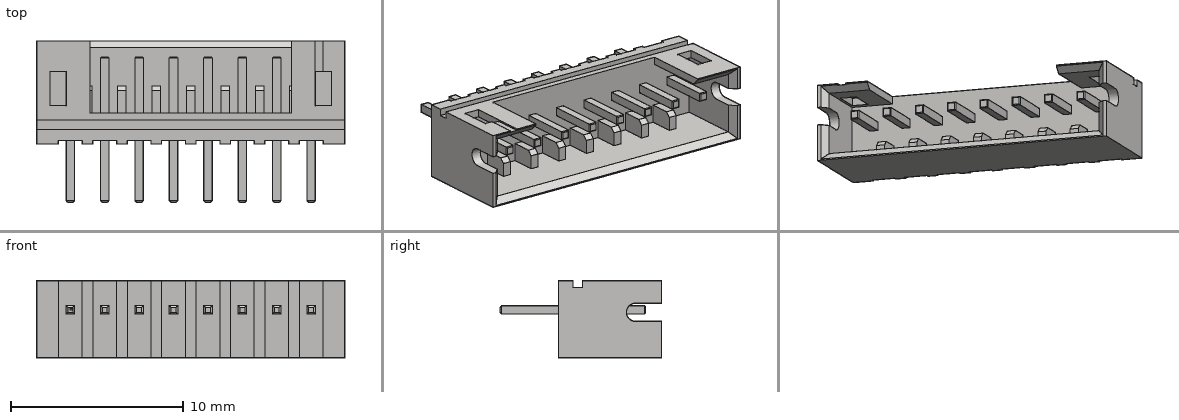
import cadquery as cq


length = 17.9
depth = 6.0
height = 4.5
side_wall = 0.59
floor_wall = 0.45
roof_wall = floor_wall
cavity_depth = 4.19
rim_chamfer = 0.38
cavity_length = length - 2 * side_wall
cavity_height = height - floor_wall - roof_wall
cavity_start = depth - cavity_depth

pin_count = 8
pin_row_length = 14.0
pin_width = 0.5
pin_height = 2.8
pin_tail = 3.4
pin_setback = 0.95
tail_chamfer = 0.1
contact_chamfer = 0.05
dimple_size = 0.1
dimple_depth = 0.05
dimple_offset = 0.04
pitch = pin_row_length / (pin_count - 1)
pin_positions = [-pin_row_length / 2 + i * pitch for i in range(pin_count)]

window_length = 11.7
latch_length = 0.97
latch_depth = 1.97
latch_side_margin = 0.77
latch_setback = 1.79
mark_width = 0.48
mark_depth = 0.09
back_groove_start = 0.86
back_groove_width = 0.54
back_groove_depth = 0.4
latch_center = length / 2 - latch_side_margin - latch_length / 2

slot_width = 1.04
slot_depth = 2.04
slot_height = 2.65

channel_width = 1.38
channel_depth = 0.2

rib_width = 0.5
rib_length = 1.58
rib_height = 1.07
rib_slope = 0.27


def block(x_size, y_start, y_size, z_start, z_size, x_center=0.0):
    """Box centred on x_center that starts at y_start and z_start."""
    box = cq.Workplane("XY").box(x_size, y_size, z_size, centered=(True, False, False))
    return box.translate((x_center, y_start, z_start))


def make_cavity():
    """Box pocket with a flare at the mating rim."""
    pocket = block(cavity_length, cavity_start, cavity_depth, floor_wall, cavity_height)
    flare = (
        cq.Workplane("XZ", origin=(0, depth, floor_wall + cavity_height / 2))
        .rect(cavity_length + 2 * rim_chamfer, cavity_height + 2 * rim_chamfer)
        .workplane(offset=rim_chamfer)
        .rect(cavity_length, cavity_height)
        .loft(ruled=True)
    )
    return pocket.union(flare)


def make_side_slot():
    """Round-ended slot that runs through both side walls and opens at the rim."""
    radius = slot_width / 2
    round_start = depth - slot_depth + radius
    return (
        cq.Workplane("YZ", origin=(0, 0, slot_height))
        .moveTo(depth, radius)
        .lineTo(round_start, radius)
        .threePointArc((depth - slot_depth, 0), (round_start, -radius))
        .lineTo(depth, -radius)
        .close()
        .extrude(length / 2, both=True)
    )


def make_housing():
    housing = block(length, 0, depth, 0, height).cut(make_cavity()).cut(make_side_slot())

    roof_bottom = height - roof_wall
    housing = housing.cut(block(window_length, cavity_start, cavity_depth, roof_bottom, roof_wall))

    latch_start = depth - latch_setback - latch_depth
    for x in (-latch_center, latch_center):
        housing = housing.cut(block(latch_length, latch_start, latch_depth, roof_bottom, roof_wall, x))

    mark_center = latch_center - latch_length / 2 + mark_width / 2
    mark_bottom = height - mark_depth
    mark_start = depth - latch_setback
    housing = housing.cut(
        block(mark_width, mark_start, latch_setback, mark_bottom, mark_depth, mark_center)
    )

    groove_bottom = height - back_groove_depth
    housing = housing.cut(
        block(length, back_groove_start, back_groove_width, groove_bottom, back_groove_depth)
    )

    for x in pin_positions:
        housing = housing.cut(block(channel_width, 0, channel_depth, 0, height, x))
    return housing


def make_rib(x):
    """Floor rib with its free top corner cut at 45 degrees."""
    rib = block(rib_width, cavity_start, rib_length, floor_wall, rib_height, x)
    return rib.faces(">Y").edges(">Z").chamfer(rib_slope)


def make_pin(x):
    """Square pin through the back wall, chamfered at both tips."""
    pin_length = pin_tail + depth - pin_setback
    pin = block(pin_width, -pin_tail, pin_length, pin_height - pin_width / 2, pin_width, x)
    return pin.faces("<Y").chamfer(tail_chamfer).faces(">Y").chamfer(contact_chamfer)


def make_pin_one_dimple():
    """Tiny square dimple in the tail tip of the first pin, set off towards +X and +Z."""
    x = pin_positions[0] + dimple_offset
    bottom = pin_height + dimple_offset - dimple_size / 2
    return block(dimple_size, -pin_tail, dimple_depth, bottom, dimple_size, x)


result = make_housing()
for left_pin in pin_positions[:-1]:
    result = result.union(make_rib(left_pin + pitch / 2))
for position in pin_positions:
    result = result.union(make_pin(position))
result = result.cut(make_pin_one_dimple())